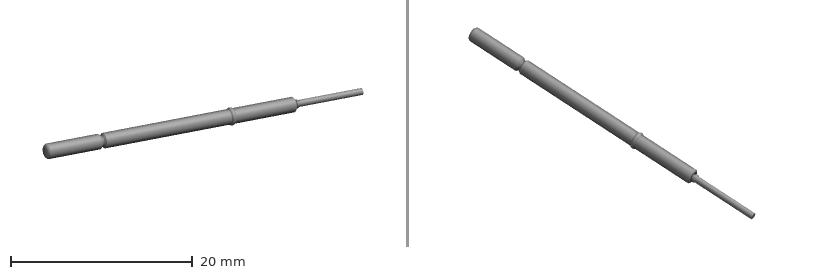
import cadquery as cq

total_length = 38.7

barrel_diameter = 1.75
barrel_radius = barrel_diameter / 2
barrel_end = 30.4
barrel_chamfer = 0.1
nose_fillet = 0.43

ring_radius = 1.0
ring_start = 22.45
ring_width = 0.55

groove_start = 6.58
groove_end = 7.2
groove_floor_radius = 0.65
groove_floor_start = 6.85
groove_floor_width = 0.1

post_radius = 0.4
collar_radius = 0.5
collar_start = 30.6
collar_width = 0.15
collar_taper = 0.2


def make_barrel():
    barrel = cq.Workplane("XZ").circle(barrel_radius).extrude(-barrel_end)
    barrel = barrel.faces("<Y").edges().fillet(nose_fillet)
    return barrel.faces(">Y").edges().chamfer(barrel_chamfer)


def make_ring():
    ring_end = ring_start + ring_width
    ring_middle = ring_start + ring_width / 2
    profile = (
        cq.Workplane("XY")
        .moveTo(0, ring_start)
        .lineTo(barrel_radius, ring_start)
        .threePointArc((ring_radius, ring_middle), (barrel_radius, ring_end))
        .lineTo(0, ring_end)
        .close()
    )
    return profile.revolve(360, (0, 0, 0), (0, 1, 0))


def make_groove_cutter():
    profile = cq.Workplane("XY").polyline([
        (barrel_radius, groove_start),
        (groove_floor_radius, groove_floor_start),
        (groove_floor_radius, groove_floor_start + groove_floor_width),
        (barrel_radius, groove_end),
    ]).close()
    return profile.revolve(360, (0, 0, 0), (0, 1, 0))


def make_post():
    """Post with its collar, which tapers down to the post on the +Y side."""
    collar_end = collar_start + collar_width
    taper_end = collar_end + collar_taper
    profile = cq.Workplane("XY").polyline([
        (0, barrel_end),
        (post_radius, barrel_end),
        (post_radius, collar_start),
        (collar_radius, collar_start),
        (collar_radius, collar_end),
        (post_radius, taper_end),
        (post_radius, total_length),
        (0, total_length),
    ]).close()
    return profile.revolve(360, (0, 0, 0), (0, 1, 0))


result = make_barrel().union(make_ring()).cut(make_groove_cutter()).union(make_post())